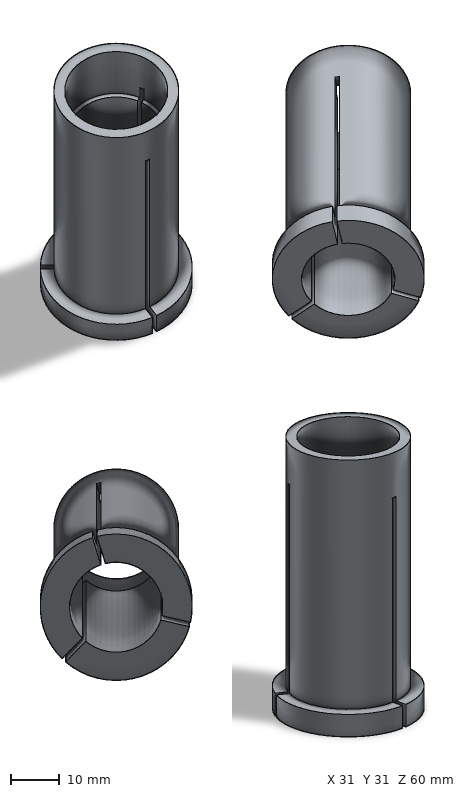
import cadquery as cq

total_height = 60.0
flange_diameter = 31.0
flange_height = 5.0
tube_diameter = 25.5
upper_bore_diameter = 21.0
lower_bore_diameter = 19.0
upper_bore_depth = 13.0
slot_width = 0.95
rear_slot_clearance = 9.95
front_slot_clearance = 9.0

top_clearance_by_angle = {
    90: rear_slot_clearance,
    210: front_slot_clearance,
    330: front_slot_clearance,
}


def sleeve_body():
    """Flanged tube standing on Z = 0, with a stepped bore."""
    flange = cq.Workplane("XY").circle(flange_diameter / 2).extrude(flange_height)
    tube = cq.Workplane("XY").circle(tube_diameter / 2).extrude(total_height)
    lower_bore = cq.Workplane("XY").circle(lower_bore_diameter / 2).extrude(total_height)
    upper_bore = (
        cq.Workplane("XY", origin=(0, 0, total_height - upper_bore_depth))
        .circle(upper_bore_diameter / 2)
        .extrude(upper_bore_depth)
    )
    return flange.union(tube).cut(lower_bore).cut(upper_bore)


def slot_cutter(angle, top_clearance):
    """Radial slot from the axis out through the flange, open at the bottom."""
    slot_height = total_height - top_clearance
    return (
        cq.Workplane("XY")
        .box(flange_diameter, slot_width, slot_height, centered=(False, True, False))
        .rotate((0, 0, 0), (0, 0, 1), angle)
    )


result = sleeve_body()
for slot_angle, clearance in top_clearance_by_angle.items():
    result = result.cut(slot_cutter(slot_angle, clearance))